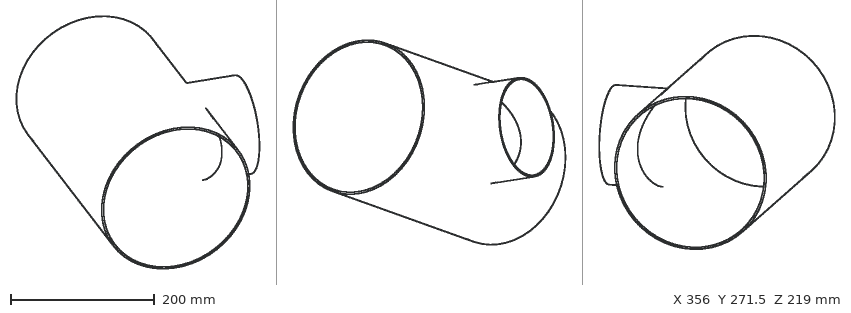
import cadquery as cq

run_length = 356.0
run_outer_diameter = 219.0
run_inner_diameter = 213.2

branch_outer_diameter = 139.5
branch_inner_diameter = 134.5
overall_depth = 271.5
branch_reach = overall_depth - run_outer_diameter / 2

blend_radius = 3.0


def tee_body(run_diameter, branch_diameter):
    """Solid tee: a cylinder along X joined to one along +Y, with the joint between them rounded."""
    run = cq.Workplane("YZ").circle(run_diameter / 2).extrude(run_length / 2, both=True)
    branch = cq.Workplane("XZ").circle(branch_diameter / 2).extrude(-branch_reach)
    tee = run.union(branch)
    joint = tee.edges("not(%LINE or %CIRCLE)")
    return joint.fillet(blend_radius)


outside = tee_body(run_outer_diameter, branch_outer_diameter)
bores = tee_body(run_inner_diameter, branch_inner_diameter)

result = outside.cut(bores)